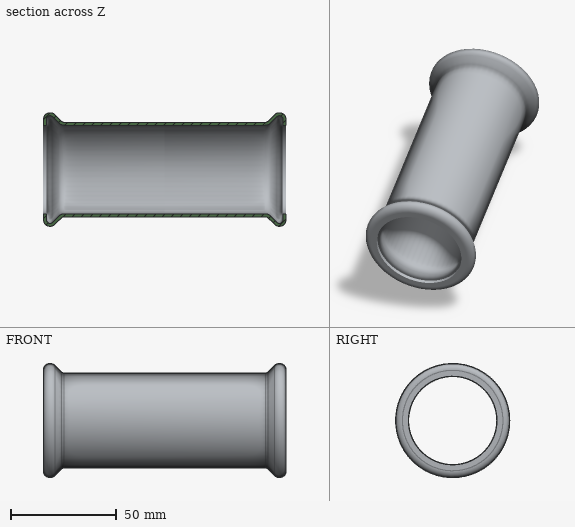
import cadquery as cq
import math

length = 115.0
bead_diameter = 54.0
tube_diameter = 45.0
wall = 1.6
bead_radius = 3.2
neck_radius = 2.0
cone_angle = math.radians(45)

tube_radius = tube_diameter / 2
bore_radius = tube_radius - wall
bead_center = (bead_radius, bead_diameter / 2 - bead_radius)
neck_center_r = tube_radius + neck_radius
neck_rise = neck_center_r - bead_center[1]
tangent_offset = (bead_radius + neck_radius - neck_rise * math.cos(cone_angle)) / math.sin(cone_angle)
neck_center = (bead_center[0] + tangent_offset, neck_center_r)


def polar(center, radius, angle):
    """Point on an arc; the angle is measured from the outward radial direction toward the tube middle."""
    return (center[0] + radius * math.sin(angle), center[1] + radius * math.cos(angle))


def bead_arc(radius):
    """Start, middle and end of a bead arc, from the end face to the cone."""
    angles = (-math.pi / 2, (cone_angle - math.pi / 2) / 2, cone_angle)
    return [polar(bead_center, radius, angle) for angle in angles]


def neck_arc(radius):
    """Start, middle and end of a neck arc, from the cone to the tube."""
    angles = (math.pi + cone_angle, math.pi + cone_angle / 2, math.pi)
    return [polar(neck_center, radius, angle) for angle in angles]


def half_tube():
    """Tube from one rolled end to the middle, revolved about X."""
    bead_outer = bead_arc(bead_radius)
    bead_inner = bead_arc(bead_radius - wall)
    neck_outer = neck_arc(neck_radius)
    neck_inner = neck_arc(neck_radius + wall)
    profile = (
        cq.Workplane("XY")
        .moveTo(0, bore_radius)
        .lineTo(*bead_outer[0])
        .threePointArc(*bead_outer[1:])
        .lineTo(*neck_outer[0])
        .threePointArc(*neck_outer[1:])
        .lineTo(length / 2, tube_radius)
        .lineTo(length / 2, bore_radius)
        .lineTo(*neck_inner[2])
        .threePointArc(neck_inner[1], neck_inner[0])
        .lineTo(*bead_inner[2])
        .threePointArc(bead_inner[1], bead_inner[0])
        .lineTo(wall, bore_radius)
        .close()
    )
    return profile.revolve(360, (0, 0, 0), (1, 0, 0)).translate((-length / 2, 0, 0))


left_half = half_tube()
result = left_half.union(left_half.mirror("YZ")).clean()